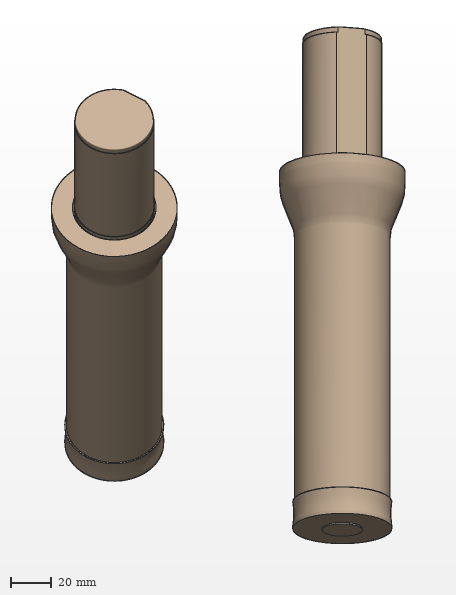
import cadquery as cq

total_height = 256.0
housing_top = 186.4
head_rim_bottom = 181.8
head_bottom = 152.5
foot_top = 14.5

tube_diameter = 47.5
head_diameter = 62.5
foot_diameter = 49.2
foot_waist_radius = 24.0
foot_rim_top = 2.3
foot_pad_diameter = 20.0
foot_pad_height = 0.8
flare_upper_height = 170.2
flare_upper_radius = 29.5
flare_lower_height = 158.7
flare_lower_radius = 24.8
mouth_chamfer = 0.8

plunger_diameter = 39.5
guide_diameter = 40.0
guide_top = 188.0
plunger_bottom = head_bottom
flat_offset = 18.2
flat_bottom = 190.2
crown_height = 2.8
crown_step = 0.3
crown_fillet = 0.5


def make_housing():
    """Tube with a flared head and a stepped foot, bored for the plunger."""
    tube_radius = tube_diameter / 2
    head_radius = head_diameter / 2
    foot_radius = foot_diameter / 2
    pad_radius = foot_pad_diameter / 2
    waist_height = (foot_rim_top + foot_top) / 2
    flare_points = [
        (flare_lower_radius, flare_lower_height),
        (flare_upper_radius, flare_upper_height),
        (head_radius, head_rim_bottom),
    ]
    body = (
        cq.Workplane("XZ")
        .lineTo(pad_radius, 0)
        .lineTo(pad_radius, foot_pad_height)
        .lineTo(foot_radius, foot_pad_height)
        .lineTo(foot_radius, foot_rim_top)
        .threePointArc((foot_waist_radius, waist_height), (foot_radius, foot_top))
        .lineTo(tube_radius, foot_top)
        .lineTo(tube_radius, head_bottom)
        .spline(flare_points, tangents=[(0, 1), (0, 1)], includeCurrent=True)
        .lineTo(head_radius, housing_top)
        .lineTo(0, housing_top)
        .close()
        .revolve(360, (0, 0, 0), (0, 1, 0))
    )
    bore = (
        cq.Workplane("XY", origin=(0, 0, plunger_bottom))
        .circle(guide_diameter / 2)
        .extrude(housing_top - plunger_bottom)
    )
    bored = body.cut(bore)
    mouth_edge = cq.selectors.RadiusNthSelector(0)
    return bored.faces(">Z").edges(mouth_edge).chamfer(mouth_chamfer)


def make_plunger():
    """Round plunger with a thicker guided length, a reduced, rounded
    crown and one flat on the +Y side.
    """
    shaft_top = total_height - crown_height
    shaft = (
        cq.Workplane("XY", origin=(0, 0, plunger_bottom))
        .circle(plunger_diameter / 2)
        .extrude(shaft_top - plunger_bottom)
    )
    guide = (
        cq.Workplane("XY", origin=(0, 0, plunger_bottom))
        .circle(guide_diameter / 2)
        .extrude(guide_top - plunger_bottom)
    )
    crown = (
        cq.Workplane("XY", origin=(0, 0, shaft_top))
        .circle(plunger_diameter / 2 - crown_step)
        .extrude(crown_height)
        .faces(">Z")
        .edges()
        .fillet(crown_fillet)
    )
    flat_cutter = (
        cq.Workplane("XY", origin=(0, flat_offset, flat_bottom))
        .box(
            plunger_diameter, plunger_diameter, total_height - flat_bottom,
            centered=(True, False, False),
        )
    )
    return shaft.union(guide).union(crown).cut(flat_cutter)


housing = make_housing()
plunger = make_plunger()
result = cq.Compound.makeCompound([housing.val(), plunger.val()])